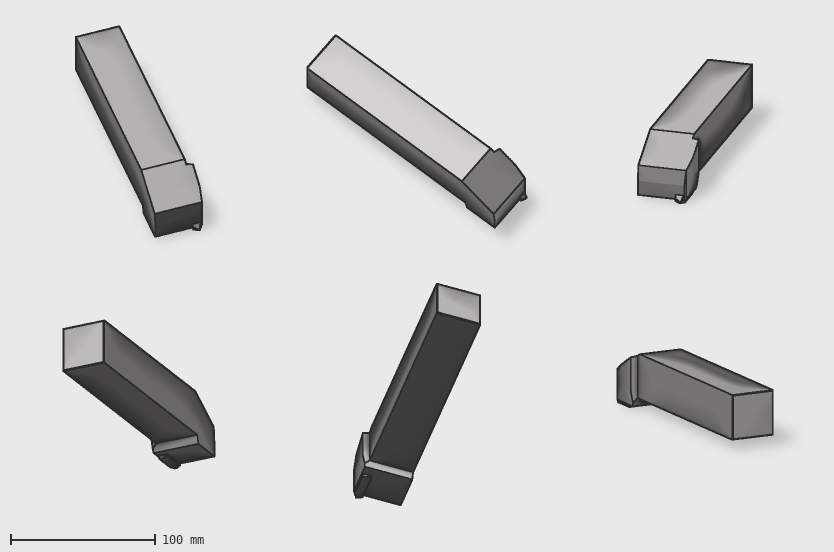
import cadquery as cq
import math

shank_size = 32.0
total_width = 36.5
head_bottom = -38.0
shoulder_x = 141.0
shoulder_angle = 15.0
end_x = 167.1
back_chamfer = 0.5

roof_start_x = 137.9
roof_end_x = 166.1
roof_angle = 30.0
end_relief_z = -27.5

side_taper_x = 156.4
side_taper_z = -27.2
side_taper = 1.7
end_corner_y = 33.7

tip_x = 170.0
tip_y = 32.1
tip_z = -39.3
insert_start_x = 149.0
insert_bottom = -40.0
insert_back_draft = 0.5
insert_inner_y = 27.5
insert_outer_y = 34.5
insert_inner_z = -38.8
bottom_land_inner_y = 31.6
bottom_land_outer_y = 34.0
nose_top = -34.7
nose_bottom_x = 169.2
nose_inner_x = 168.5
nose_notch_x = 168.1
nose_notch_y = 32.5


def shoulder_run(depth):
    """Length along X that a shoulder wall leans over the given depth."""
    return depth * math.tan(math.radians(shoulder_angle))


def prism_along_y(points, width):
    """XZ outline extruded from Y = 0 to the given width."""
    return cq.Workplane("XZ").polyline(points).close().extrude(-width)


def prism_along_z(points, bottom):
    """XY outline extruded from Z = 0 down to the given level."""
    return cq.Workplane("XY").polyline(points).close().extrude(bottom)


def prism_along_x(points, length):
    """YZ outline extruded from X = 0 to the given length."""
    return cq.Workplane("YZ").polyline(points).close().extrude(length)


def make_holder():
    """Shank and head, as the common volume of a side, a plan and an end outline."""
    roof_drop = (roof_end_x - roof_start_x) * math.tan(math.radians(roof_angle))
    bottom_run = shoulder_run(-shank_size - head_bottom)
    side_run = shoulder_run(total_width - shank_size)

    side = prism_along_y([
        (0, 0),
        (roof_start_x, 0),
        (roof_end_x, -roof_drop),
        (end_x, end_relief_z),
        (end_x, head_bottom),
        (shoulder_x + bottom_run, head_bottom),
        (shoulder_x, -shank_size),
        (0, -shank_size),
    ], total_width)
    plan = prism_along_z([
        (0, 0),
        (end_x, 0),
        (end_x, end_corner_y),
        (roof_end_x, total_width - side_taper),
        (side_taper_x, total_width),
        (shoulder_x + side_run, total_width),
        (shoulder_x, shank_size),
        (0, shank_size),
    ], head_bottom)
    end = prism_along_x([
        (0, 0),
        (total_width, 0),
        (total_width, side_taper_z),
        (total_width - side_taper, head_bottom),
        (0, head_bottom),
    ], end_x)
    body = side.intersect(plan).intersect(end)
    return body.faces("<X").chamfer(back_chamfer)


def make_insert():
    """Thin insert with a pointed nose, from its side, plan and end outlines."""
    side = prism_along_y([
        (insert_start_x, head_bottom),
        (end_x, head_bottom),
        (end_x, nose_top),
        (tip_x, tip_z),
        (nose_bottom_x, insert_bottom),
        (insert_start_x + insert_back_draft, insert_bottom),
    ], total_width)
    plan = prism_along_z([
        (insert_start_x, insert_inner_y),
        (nose_inner_x, insert_inner_y),
        (tip_x, tip_y),
        (nose_notch_x, nose_notch_y),
        (end_x, end_corner_y),
        (roof_end_x, insert_outer_y),
        (insert_start_x, insert_outer_y),
    ], insert_bottom)
    end = prism_along_x([
        (insert_inner_y, nose_top),
        (insert_outer_y, nose_top),
        (insert_outer_y, head_bottom),
        (bottom_land_outer_y, insert_bottom),
        (bottom_land_inner_y, insert_bottom),
        (insert_inner_y, insert_inner_z),
    ], tip_x)
    return side.intersect(plan).intersect(end)


holder = make_holder()
insert = make_insert()
result = cq.Compound.makeCompound([holder.val(), insert.val()])